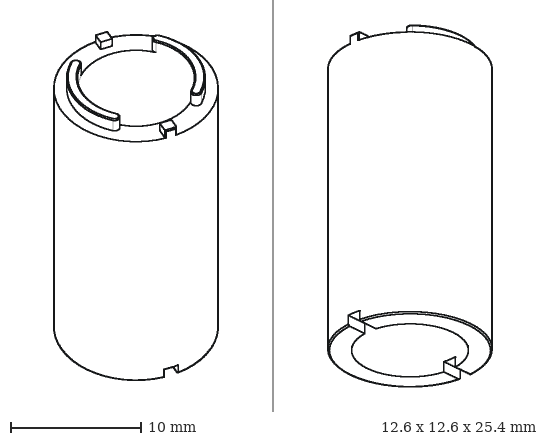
import cadquery as cq
import math

total_height = 25.4
outer_radius = 6.32
bore_radius = 4.5
bottom_chamfer = 0.13

rib_height = 1.15
rib_outer_radius = 5.33
rib_half_angle = 45
rib_chamfer = 0.1
body_height = total_height - rib_height

tab_height = 0.74
tab_width = 1.0
tab_inner_radius = 5.3
tab_chamfer = 0.1

slot_width = 1.2
slot_depth = 0.9


def make_body():
    """Plain tube with a chamfered lower outer edge."""
    cylinder = cq.Workplane("XY").circle(outer_radius).extrude(body_height)
    cylinder = cylinder.faces("<Z").chamfer(bottom_chamfer)
    bore = cq.Workplane("XY").circle(bore_radius).extrude(body_height)
    return cylinder.cut(bore)


def polar_point(radius, angle):
    """Point at an angle in degrees, measured clockwise from +Y."""
    return (radius * math.sin(math.radians(angle)), radius * math.cos(math.radians(angle)))


def make_rib():
    """Arc-shaped rib on the +Y side with round ends and chamfered top edges."""
    middle_radius = (bore_radius + rib_outer_radius) / 2
    end_radius = (rib_outer_radius - bore_radius) / 2
    end_tip_angle = rib_half_angle + math.degrees(math.atan(end_radius / middle_radius))
    end_tip_radius = math.hypot(middle_radius, end_radius)
    return (
        cq.Workplane("XY", origin=(0, 0, body_height))
        .moveTo(*polar_point(rib_outer_radius, -rib_half_angle))
        .threePointArc((0, rib_outer_radius), polar_point(rib_outer_radius, rib_half_angle))
        .threePointArc(
            polar_point(end_tip_radius, end_tip_angle),
            polar_point(bore_radius, rib_half_angle),
        )
        .threePointArc((0, bore_radius), polar_point(bore_radius, -rib_half_angle))
        .threePointArc(
            polar_point(end_tip_radius, -end_tip_angle),
            polar_point(rib_outer_radius, -rib_half_angle),
        )
        .close()
        .extrude(rib_height)
        .faces(">Z")
        .chamfer(rib_chamfer)
    )


def make_tab():
    """Square tab on the +X side, its outer face following the body and bevelled at its sides and top."""
    block = (
        cq.Workplane("XY", origin=(0, 0, body_height))
        .center((tab_inner_radius + outer_radius) / 2, 0)
        .rect(outer_radius - tab_inner_radius, tab_width)
        .extrude(tab_height)
        .faces(">X")
        .edges("not <Z")
        .chamfer(tab_chamfer)
    )
    rim = cq.Workplane("XY").circle(outer_radius).extrude(total_height)
    return block.intersect(rim)


def make_slot():
    """Straight slot running along X through both walls."""
    return cq.Workplane("XY").rect(2 * outer_radius, slot_width).extrude(slot_depth)


result = make_body().cut(make_slot())
for turn in (0, 180):
    for feature in (make_rib(), make_tab()):
        result = result.union(feature.rotate((0, 0, 0), (0, 0, 1), turn))